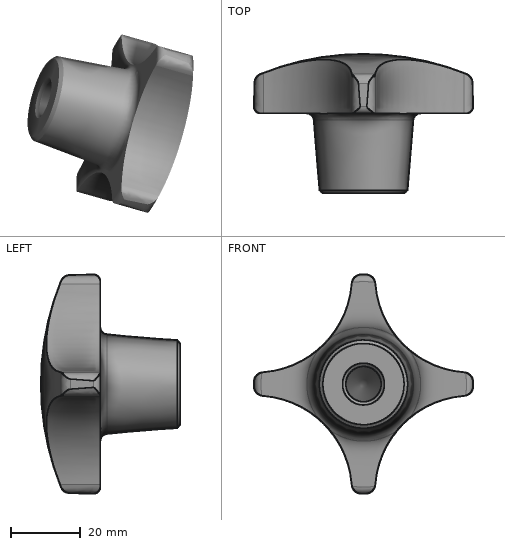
import cadquery as cq
import math

arm_count = 4
overall_diameter = 62.9
total_height = 40.0
underside_y = 22.9
dome_radius = 78.6
tip_draft_deg = 1.0
rim_lower_fillet = 2.0
rim_upper_fillet = 3.0
tip_radius = overall_diameter / 2 + rim_lower_fillet * math.tan(math.radians(tip_draft_deg))

scallop_depth_radius = 16.1
scallop_radius = 27.4
arm_edge_fillet = 3.0

hub_end_radius = 12.6
hub_base_radius = 14.45
hub_flare_fillet = 2.0
hub_end_chamfer = 0.95

hole_diameter = 10.1
hole_depth = 20.1
drill_point_deg = 118.0
hole_chamfer = 0.95


def revolve_profile(profile):
    return profile.close().revolve(360, (0, 0, 0), (0, 1, 0))


def dome_y(radius):
    """Height of the spherical crown at a distance from the knob axis."""
    return total_height - dome_radius + math.sqrt(dome_radius**2 - radius**2)


def ring_edges(body, radius, y):
    """Circular edges of the body with the given radius and height."""
    tolerance = 0.005
    return body.edges("%CIRCLE").filter(
        lambda edge: abs(edge.radius() - radius) < tolerance and abs(edge.Center().y - y) < tolerance
    )


def make_turned_body():
    rim_y = dome_y(tip_radius)
    rim_radius = tip_radius - (rim_y - underside_y) * math.tan(math.radians(tip_draft_deg))
    rim_y = dome_y(rim_radius)
    mid_radius = rim_radius / 2
    body = revolve_profile(
        cq.Workplane("XY")
        .lineTo(hub_end_radius, 0)
        .lineTo(hub_base_radius, underside_y)
        .lineTo(tip_radius, underside_y)
        .lineTo(rim_radius, rim_y)
        .threePointArc((mid_radius, dome_y(mid_radius)), (0, total_height))
    )
    body = ring_edges(body, rim_radius, rim_y).fillet(rim_upper_fillet)
    body = ring_edges(body, tip_radius, underside_y).fillet(rim_lower_fillet)
    body = ring_edges(body, hub_base_radius, underside_y).fillet(hub_flare_fillet)
    return ring_edges(body, hub_end_radius, 0).chamfer(hub_end_chamfer)


def make_star_prism():
    """Star outline, extruded over the whole height, that trims the turned body."""
    prism = cq.Workplane("XZ").circle(tip_radius).extrude(-total_height)
    scallop_centre = scallop_depth_radius + scallop_radius
    scallops = (
        cq.Workplane("XZ")
        .polarArray(scallop_centre, 180 / arm_count, 360, arm_count)
        .circle(scallop_radius)
        .extrude(-total_height)
    )
    return prism.cut(scallops).edges("|Y").fillet(arm_edge_fillet)


def make_hole():
    radius = hole_diameter / 2
    point_length = radius / math.tan(math.radians(drill_point_deg / 2))
    return revolve_profile(
        cq.Workplane("XY")
        .lineTo(radius + hole_chamfer, 0)
        .lineTo(radius, hole_chamfer)
        .lineTo(radius, hole_depth)
        .lineTo(0, hole_depth + point_length)
    )


result = make_turned_body().intersect(make_star_prism()).cut(make_hole())